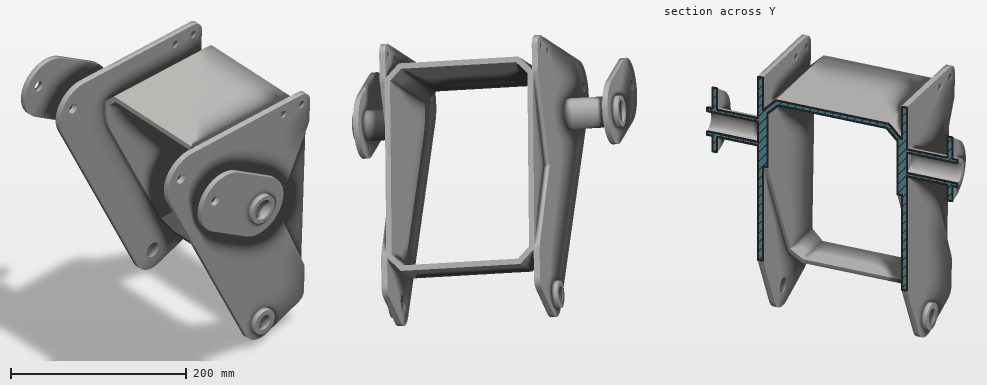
import cadquery as cq
import math


PIN_END = 157.5
LUG_OUTER = 150.8
LUG_THICKNESS = 6.5
PLATE_OUTER = 94.0
PLATE_THICKNESS = 7.0
BOSS_HEIGHT = 6.5

PIVOT = (0.0, 0.0)
LINK_HOLE = (63.5, 276.5)
FRONT_CORNER = (-108.0, 258.0)
REAR_FOOT = (54.0, 7.0)
SMALL_RADIUS = 13.5
PIVOT_RADIUS = 25.7
FRONT_RADIUS = 37.5
PLATE_CORNERS = [
    (LINK_HOLE, SMALL_RADIUS),
    (REAR_FOOT, SMALL_RADIUS),
    (PIVOT, PIVOT_RADIUS),
    (FRONT_CORNER, FRONT_RADIUS),
]

NOTCH_TOP_Z = 245.5
NOTCH_BOTTOM_Z = 42.0
NOTCH_TIP = (25.7, 145.5)
NOTCH_TIP_RADIUS = 3.2
NOTCH_MOUTH_RADIUS = 16.0

SECOND_LINK_HOLE = (35.5, 277.0)
LINK_HOLE_DIAMETER = 9.0
LOCK_HOLE = (-124.7, 268.0)
LOCK_HOLE_DIAMETER = 13.0
PIVOT_HOLE_DIAMETER = 19.0
BOSS_DIAMETER = 31.8
PIN_AXIS = (-55.5, 222.8)
PIN_DIAMETER = 35.7
PIN_BORE_DIAMETER = 25.5
LUG_FRONT = (-109.0, 258.0)
LUG_RADIUS = 37.5

TUBE_HALF_WIDTH = 87.8
TUBE_WALL = 6.5
TUBE_CHAMFER = 17.0
TUBE_DEPTH = 152.5
TUBE_HEIGHT = 241.0
TUBE_REAR_TOP_Z = 263.5
TUBE_FRONT_KNEE = 43.7
TUBE_KNEE_RADIUS = 74.0


def tangent_points(first, second):
    """End points of the outer tangent of two circles in a clockwise (y, z) loop."""
    (y1, z1), r1 = first
    (y2, z2), r2 = second
    distance = math.hypot(y2 - y1, z2 - z1)
    heading = math.atan2(z2 - z1, y2 - y1)
    normal = heading + math.acos((r1 - r2) / distance)
    ny, nz = math.cos(normal), math.sin(normal)
    return (y1 + r1 * ny, z1 + r1 * nz), (y2 + r2 * ny, z2 + r2 * nz)


def arc_middle(corner, start, end):
    """Middle point of a corner's arc, run clockwise from start to end."""
    (cy, cz), radius = corner
    start_angle = math.atan2(start[1] - cz, start[0] - cy)
    end_angle = math.atan2(end[1] - cz, end[0] - cy)
    middle = start_angle - ((start_angle - end_angle) % (2 * math.pi)) / 2
    return cy + radius * math.cos(middle), cz + radius * math.sin(middle)


def belt(corners, x_start, thickness):
    """Plate bounded by a taut belt around circles listed clockwise in (y, z)."""
    count = len(corners)
    sides = [tangent_points(corners[i], corners[(i + 1) % count]) for i in range(count)]
    outline = cq.Workplane("YZ", origin=(x_start, 0, 0)).moveTo(*sides[0][0])
    for i in range(count):
        arc_start = sides[i][1]
        following = (i + 1) % count
        arc_end = sides[following][0]
        outline = outline.lineTo(*arc_start)
        outline = outline.threePointArc(arc_middle(corners[following], arc_start, arc_end), arc_end)
    return outline.close().extrude(thickness)


def rod(centre, diameter, x_start, x_end):
    """Cylinder along X."""
    plane = cq.Workplane("YZ", origin=(x_start, 0, 0))
    return plane.center(*centre).circle(diameter / 2).extrude(x_end - x_start)


REAR_TOP, REAR_BOTTOM = tangent_points(PLATE_CORNERS[0], PLATE_CORNERS[1])
REAR_SLOPE = (REAR_TOP[0] - REAR_BOTTOM[0]) / (REAR_TOP[1] - REAR_BOTTOM[1])
TILT = math.degrees(math.atan(REAR_SLOPE))
FRONT_EDGE = tangent_points(PLATE_CORNERS[2], PLATE_CORNERS[3])


def rear_edge_y(z):
    """Y of the straight rear edge at height z."""
    return REAR_BOTTOM[0] + REAR_SLOPE * (z - REAR_BOTTOM[1])


def side_plate():
    """Plate on the +X side with its boss, notch and holes."""
    inner = PLATE_OUTER - PLATE_THICKNESS
    boss_end = PLATE_OUTER + BOSS_HEIGHT
    plate = belt(PLATE_CORNERS, inner, PLATE_THICKNESS)
    mouth = [(rear_edge_y(z), z) for z in (NOTCH_TOP_Z, NOTCH_BOTTOM_Z)]
    flank_ends = [(2 * y - NOTCH_TIP[0], 2 * z - NOTCH_TIP[1]) for y, z in mouth]
    notch = (
        cq.Workplane("YZ", origin=(inner, 0, 0))
        .polyline([NOTCH_TIP] + flank_ends)
        .close()
        .extrude(PLATE_THICKNESS)
        .edges("|X").edges("<Y").fillet(NOTCH_TIP_RADIUS)
    )
    plate = plate.cut(notch)
    for y, z in mouth:
        corner = cq.selectors.NearestToPointSelector((PLATE_OUTER - PLATE_THICKNESS / 2, y, z))
        plate = plate.edges("|X").edges(corner).fillet(NOTCH_MOUTH_RADIUS)
    plate = plate.union(rod(PIVOT, BOSS_DIAMETER, PLATE_OUTER, boss_end))
    plate = plate.cut(rod(PIVOT, PIVOT_HOLE_DIAMETER, inner, boss_end))
    for centre in (LINK_HOLE, SECOND_LINK_HOLE):
        plate = plate.cut(rod(centre, LINK_HOLE_DIAMETER, inner, PLATE_OUTER))
    return plate.cut(rod(LOCK_HOLE, LOCK_HOLE_DIAMETER, inner, PLATE_OUTER))


def pin_and_lug():
    """Hollow pin standing on the +X plate and the lug it carries."""
    inner = LUG_OUTER - LUG_THICKNESS
    lug = belt([(PIN_AXIS, LUG_RADIUS), (LUG_FRONT, LUG_RADIUS)], inner, LUG_THICKNESS)
    lug = lug.cut(rod(LOCK_HOLE, LOCK_HOLE_DIAMETER, inner, LUG_OUTER))
    pin = rod(PIN_AXIS, PIN_DIAMETER, PLATE_OUTER, PIN_END)
    return lug.union(pin).cut(rod(PIN_AXIS, PIN_BORE_DIAMETER, PLATE_OUTER, PIN_END))


def tube_section(inset):
    """Chamfered rectangular bar, shrunk by inset, in the untilted tube frame.

    The frame's origin is the rear top edge; the bar runs along -Y and down -Z.
    """
    half_width = TUBE_HALF_WIDTH - inset
    chamfer = TUBE_CHAMFER - inset * (2 - math.sqrt(2))
    return (
        cq.Workplane("XY")
        .box(2 * half_width, TUBE_DEPTH, TUBE_HEIGHT - 2 * inset)
        .edges("|Y").chamfer(chamfer)
        .translate((0, -TUBE_DEPTH / 2, -TUBE_HEIGHT / 2))
    )


def box_tube():
    """Chamfered tube whose front is cut parallel to the slanted plate edge."""
    (low_y, low_z), (high_y, high_z) = FRONT_EDGE
    slant = math.atan2(low_y - high_y, high_z - low_z) + math.radians(TILT)
    bottom_depth = TUBE_DEPTH - (TUBE_HEIGHT - TUBE_FRONT_KNEE) * math.tan(slant)
    side_profile = (
        cq.Workplane("YZ", origin=(-TUBE_HALF_WIDTH, 0, 0))
        .polyline([(0, 0), (-TUBE_DEPTH, 0), (-TUBE_DEPTH, -TUBE_FRONT_KNEE),
                   (-bottom_depth, -TUBE_HEIGHT), (0, -TUBE_HEIGHT)])
        .close()
        .extrude(2 * TUBE_HALF_WIDTH)
    )
    knee = cq.selectors.NearestToPointSelector((0, -TUBE_DEPTH, -TUBE_FRONT_KNEE))
    side_profile = side_profile.edges("|X").edges(knee).fillet(TUBE_KNEE_RADIUS)
    tube = tube_section(0).cut(tube_section(TUBE_WALL)).intersect(side_profile)
    tube = tube.rotate((0, 0, 0), (1, 0, 0), -TILT)
    return tube.translate((0, rear_edge_y(TUBE_REAR_TOP_Z), TUBE_REAR_TOP_Z))


half = side_plate().union(pin_and_lug())
result = box_tube().union(half).union(half.mirror("YZ"))